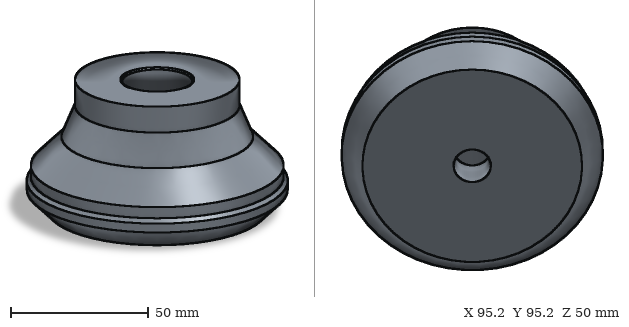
import cadquery as cq

plate_radius = 47.6
plate_bottom_radius = 40.0
rim_bottom_z = 7.6
rim_top_z = 11.0
plate_top_z = 12.6
bolt_hole_radius = 6.8

buffer_radius = 46.1
flare_bottom_z = 16.8
waist_radius = 34.9
waist_z = 28.0
neck_radius = 30.0
neck_bottom_z = 40.0
top_z = 50.0
bore_radius = 12.75
bore_chamfer = 0.7


def revolve_profile(points):
    """Turn a closed (radius, z) outline into a solid around the Z axis."""
    return cq.Workplane("XZ").polyline(points).close().revolve(360, (0, 0), (0, 1))


def make_plate():
    """Disc whose bevelled top edge narrows to the buffer's outer radius."""
    return revolve_profile([
        (bolt_hole_radius, 0),
        (plate_bottom_radius, 0),
        (plate_radius, rim_bottom_z),
        (plate_radius, rim_top_z),
        (buffer_radius, plate_top_z),
        (bolt_hole_radius, plate_top_z),
    ])


def make_buffer():
    """Two-stage conical body with a cylindrical neck and a chamfered bore down to the plate."""
    return revolve_profile([
        (bore_radius, plate_top_z),
        (buffer_radius, plate_top_z),
        (buffer_radius, flare_bottom_z),
        (waist_radius, waist_z),
        (neck_radius, neck_bottom_z),
        (neck_radius, top_z),
        (bore_radius + bore_chamfer, top_z),
        (bore_radius, top_z - bore_chamfer),
    ])


plate = make_plate()
buffer = make_buffer()
result = cq.Compound.makeCompound([plate.val(), buffer.val()])